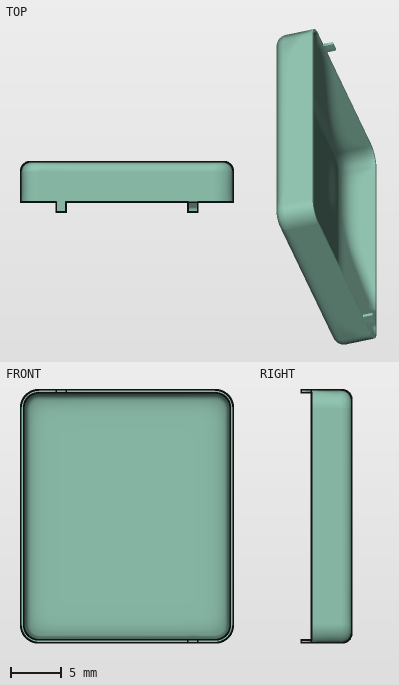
import cadquery as cq

width = 21.0
height = 25.0
body_depth = 4.0
wall = 0.3
corner_radius = 1.8
back_radius = 1.0

tab_width = 1.0
tab_length = 1.0
tab_offset = 6.5

rim_y = -body_depth / 2


def rounded_block(inset, depth):
    """Block from the rim towards +Y, with its back edge rounded concentrically."""
    block = cq.Workplane("XY").box(width - 2 * inset, depth, height - 2 * inset)
    block = block.edges("|Y").fillet(corner_radius - inset)
    block = block.faces(">Y").edges().fillet(back_radius - inset)
    return block.translate((0, rim_y + depth / 2, 0))


def tab(side):
    """Tab on the top (side = 1, towards -X) or bottom (side = -1, towards +X) wall."""
    overlap = wall
    centre = (-side * tab_offset, rim_y + (overlap - tab_length) / 2, side * (height - wall) / 2)
    return cq.Workplane("XY").box(tab_width, tab_length + overlap, wall).translate(centre)


tray = rounded_block(0, body_depth).cut(rounded_block(wall, body_depth - wall))

result = tray
for side in (1, -1):
    result = result.union(tab(side))